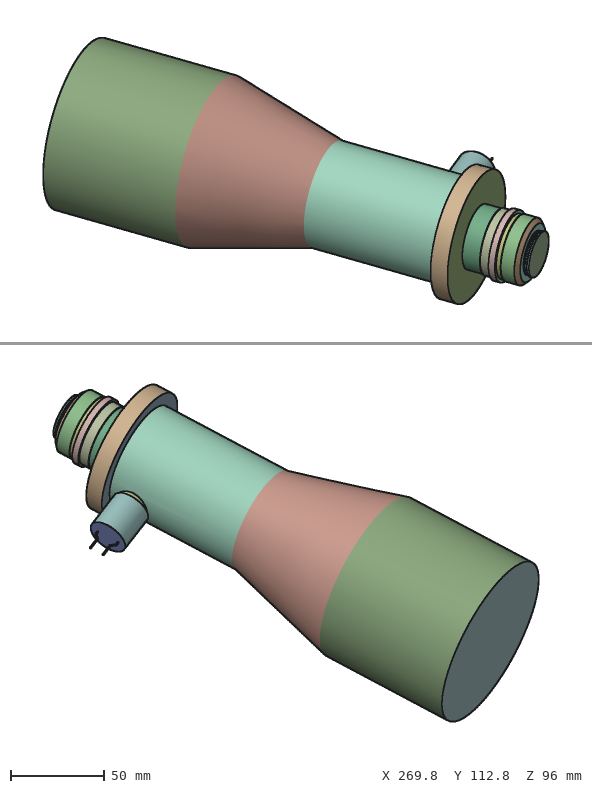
import cadquery as cq

length = 269.8
barrel_radius = 48.0
barrel_end = 77.7
taper_end = 145.2
tube_radius = 30.0

flange_radius = 37.5
flange_start = 223.1
flange_thickness = 10.0
flange_end = flange_start + flange_thickness

neck_radius = 18.3
neck_end = 243.7
sleeve_radius = 19.0
ring_radius = 20.2
ring_start = 249.3
ring_end = 253.0
groove_end = 255.8
cap_chamfer = 2.5
cap_end = 266.3
plug_collar_radius = 12.5
plug_collar_end = 267.0
plug_radius = 12.1
rim_radius = 13.0
rim_thickness = 1.3

socket_x = 208.8
socket_radius = 11.0
socket_foot_radius = 10.0
socket_shoulder = 31.0
socket_top = 53.7

wire_radius = 0.4
wire_root_offset = 6.5
wire_tip_offset = 4.0
wire_crank_start = 55.5
wire_crank_end = 57.7
wire_top = 64.8
wire_embed = 1.3


def turned_body():
    """Revolve the half outline of all the coaxial sections about X."""
    outline = [
        (0, 0),
        (0, barrel_radius),
        (barrel_end, barrel_radius),
        (taper_end, tube_radius),
        (flange_start, tube_radius),
        (flange_start, flange_radius),
        (flange_end, flange_radius),
        (flange_end, neck_radius),
        (neck_end, neck_radius),
        (neck_end, sleeve_radius),
        (ring_start, sleeve_radius),
        (ring_start, ring_radius),
        (ring_end, ring_radius),
        (ring_end, neck_radius),
        (groove_end, neck_radius),
        (groove_end, sleeve_radius),
        (cap_end - cap_chamfer, sleeve_radius),
        (cap_end, sleeve_radius - cap_chamfer),
        (cap_end, plug_collar_radius),
        (plug_collar_end, plug_collar_radius),
        (plug_collar_end, plug_radius),
        (length - rim_thickness, plug_radius),
        (length - rim_thickness, rim_radius),
        (length, rim_radius),
        (length, 0),
    ]
    return cq.Workplane("XY").polyline(outline).close().revolve(360, (0, 0, 0), (1, 0, 0))


def side_socket():
    """Revolve the socket and its narrower foot about a line along Y."""
    outline = [
        (0, 0),
        (socket_foot_radius, 0),
        (socket_foot_radius, socket_shoulder),
        (socket_radius, socket_shoulder),
        (socket_radius, socket_top),
        (0, socket_top),
    ]
    profile = cq.Workplane("XY", origin=(socket_x, 0, 0)).polyline(outline).close()
    return profile.revolve(360, (0, 0, 0), (0, 1, 0))


def cranked_wire(side):
    """Sweep a round wire that steps inward; side is -1 or +1 along X."""
    root_x = socket_x + side * wire_root_offset
    tip_x = socket_x + side * wire_tip_offset
    root_y = socket_top - wire_embed
    path = cq.Workplane("XY").polyline([
        (root_x, root_y),
        (root_x, wire_crank_start),
        (tip_x, wire_crank_end),
        (tip_x, wire_top),
    ])
    section = cq.Workplane("XZ", origin=(root_x, root_y, 0)).circle(wire_radius)
    return section.sweep(path, transition="right")


result = turned_body().union(side_socket())
for wire_side in (-1, 1):
    result = result.union(cranked_wire(wire_side))